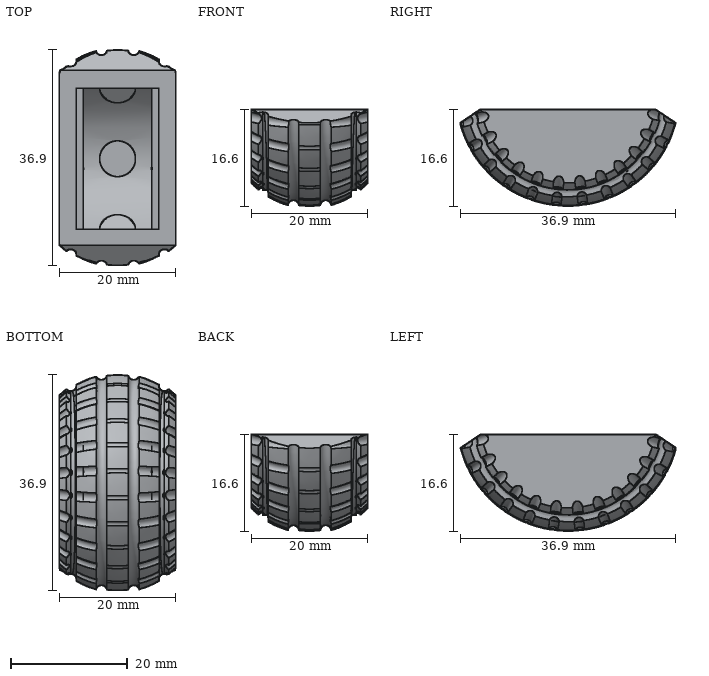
import cadquery as cq
import math

width = 20.0
half_width = width / 2
half_length = 18.48
height = 16.6

axis_z = 2.55
crown_radius = 13.6
crown_center_z = -3.35
band_radius = height + crown_center_z

end_angle = 34.0
end_run = 3.47
top_half_length = half_length - end_run

groove_radius = 0.92
inner_groove_x = 2.77
inner_groove_floor_z = -15.6
outer_groove_x = 8.0
outer_groove_floor_z = -13.4

core_half_width = outer_groove_x
core_bottom_z = -13.82
core_axis_z = 2.1

cross_floor_z = -16.5
cross_floor_radius = 12.5
cross_count = 26
cross_pitch = 360 / cross_count
cross_offset_angle = 6.0

hollow_y = -0.15

pocket_half_width = 7.05
pocket_half_length = 12.05
ledge_z = -4.1

cavity_half_width = 5.88
cavity_radius = 15.08
lip_z = -3.25
undercut_half_length = 14.0
undercut_z = -5.17
corner_z = -6.05

seat_radius = 3.05
seat_distance = 14.55
side_seat_shift = 4.8
seat_tilt = end_angle
seat_cut_length = 3.7
seat_pad_depth = 1.1

clearance = 7.4


def crown_z(x, radius):
    """Height of an arc about the crown centre at the given X."""
    return crown_center_z - math.sqrt(radius**2 - x**2)


def turn(profile):
    """Turn a profile drawn in X and Z about the tread axis."""
    return profile.revolve(360, (0, axis_z, 0), (1, axis_z, 0))


def both_sides(body):
    """Join a body with its mirror image across X = 0."""
    return body.union(body.mirror("YZ"))


def tread():
    """Full turned tread with an arched crown and a lower middle band."""
    step_x = inner_groove_x
    shoulder_x = (step_x + half_width) / 2
    edge_z = crown_z(half_width, crown_radius)
    shoulder_z = crown_z(shoulder_x, crown_radius)
    step_top_z = crown_z(step_x, crown_radius)
    step_band_z = crown_z(step_x, band_radius)
    profile = (
        cq.Workplane("XZ")
        .moveTo(-half_width, axis_z)
        .lineTo(-half_width, edge_z)
        .threePointArc((-shoulder_x, shoulder_z), (-step_x, step_top_z))
        .lineTo(-step_x, step_band_z)
        .threePointArc((0, -height), (step_x, step_band_z))
        .lineTo(step_x, step_top_z)
        .threePointArc((shoulder_x, shoulder_z), (half_width, edge_z))
        .lineTo(half_width, axis_z)
        .close()
    )
    return turn(profile)


def end_outline():
    """Half disc side outline with a flat top and sloping ends, as a prism along X."""
    reach = half_length + clearance
    drop = (reach - top_half_length) * math.tan(math.radians(end_angle))
    depth = height + clearance
    return (
        cq.Workplane("YZ")
        .polyline([
            (-top_half_length, 0), (top_half_length, 0), (reach, -drop),
            (reach, -depth), (-reach, -depth), (-reach, -drop),
        ])
        .close()
        .extrude(half_width + clearance, both=True)
    )


def ring_groove(x, floor_z):
    """Pair of round-bottomed grooves turned around the tread."""
    center_z = floor_z - groove_radius
    open_z = -height - clearance
    profile = (
        cq.Workplane("XZ")
        .moveTo(x - groove_radius, open_z)
        .lineTo(x - groove_radius, center_z)
        .threePointArc((x, floor_z), (x + groove_radius, center_z))
        .lineTo(x + groove_radius, open_z)
        .close()
    )
    return both_sides(turn(profile))


def core():
    """Cylinder along X that stays solid where it stands in the outer grooves."""
    return (
        cq.Workplane("YZ")
        .center(0, core_axis_z)
        .circle(core_axis_z - core_bottom_z)
        .extrude(core_half_width, both=True)
    )


def cross_groove(angle):
    """Round groove that arcs from side to side, swung about the tread axis."""
    path_radius = cross_floor_radius + groove_radius
    path_center_z = cross_floor_z + cross_floor_radius
    ring = cq.Workplane(cq.Solid.makeTorus(
        path_radius, groove_radius, cq.Vector(0, 0, path_center_z), cq.Vector(0, 1, 0)))
    lower_half = (
        cq.Workplane()
        .box(4 * path_radius, 4 * groove_radius, 2 * path_radius, centered=(True, True, False))
        .translate((0, 0, path_center_z - 2 * path_radius))
    )
    return ring.intersect(lower_half).rotate((0, 0, axis_z), (1, 0, axis_z), angle)


def pocket():
    """Rectangular pocket, centred on the flat top so that its lower half cuts the part."""
    return cq.Workplane().box(
        2 * pocket_half_width, 2 * pocket_half_length, 2 * -ledge_z)


def cavity():
    """Cylinder-floored cavity with a rounded undercut below each pocket end wall."""
    corner_y = math.sqrt(cavity_radius**2 - corner_z**2)
    return (
        cq.Workplane("YZ")
        .moveTo(-pocket_half_length, lip_z)
        .lineTo(pocket_half_length, lip_z)
        .threePointArc((undercut_half_length, undercut_z), (corner_y, corner_z))
        .threePointArc((0, -cavity_radius), (-corner_y, corner_z))
        .threePointArc((-undercut_half_length, undercut_z), (-pocket_half_length, lip_z))
        .close()
        .extrude(cavity_half_width, both=True)
    )


def seat_cylinder(length, shift, tilt):
    """Cylinder from a seat floor, upwards for a positive length, swung about the cavity axis."""
    return (
        cq.Workplane()
        .center(0, shift)
        .workplane(offset=-seat_distance)
        .circle(seat_radius)
        .extrude(length)
        .rotate((0, 0, 0), (1, 0, 0), tilt)
    )


body = tread().intersect(end_outline())
body = body.cut(ring_groove(inner_groove_x, inner_groove_floor_z))
body = body.cut(ring_groove(outer_groove_x, outer_groove_floor_z).cut(core()))

half_span_count = math.ceil(cross_count / 4)
for index in range(-half_span_count, half_span_count):
    body = body.cut(cross_groove(-cross_offset_angle - index * cross_pitch))

hollow = pocket().union(cavity())
for side in (-1, 0, 1):
    shift = side * side_seat_shift
    tilt = side * seat_tilt
    hollow = hollow.cut(seat_cylinder(-seat_pad_depth, shift, tilt))
    hollow = hollow.union(seat_cylinder(seat_cut_length, shift, tilt))

result = body.cut(hollow.translate((0, hollow_y, 0)))